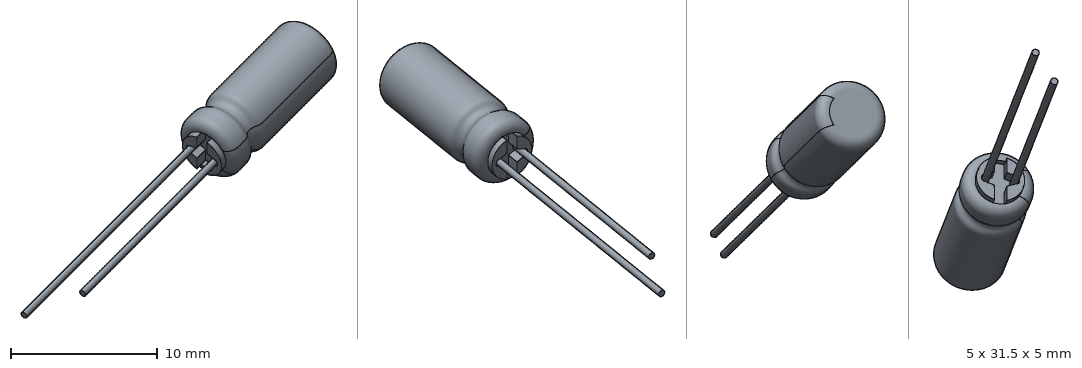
import cadquery as cq
import math


can_diameter = 5.0
can_radius = can_diameter / 2
can_length = 12.0
end_fillet = 0.72
groove_center = 2.52
groove_half_width = 1.0
groove_depth = 0.4

recess_radius = 1.67
recess_depth = 0.5
foot_height = 0.5
foot_length = foot_height + recess_depth
slot_width = 0.85
arm_half_height = 0.55
arm_end_radius = 0.3

lead_radius = 0.25
lead_offset = 1.0
overall_length = 31.5
long_lead_tip = can_length - overall_length
short_lead_tip = -15.5

stripe_apex = -can_diameter / 4
stripe_half_angle = 20


def along_y(y_start, length):
    """Return a sketch plane facing -Y at a given Y, and an extrusion towards +Y."""
    plane = cq.Plane(origin=(0, y_start, 0), xDir=(1, 0, 0), normal=(0, -1, 0))
    return cq.Workplane(plane), -length


def cylinder(x, radius, y_start, y_end):
    sketch, distance = along_y(y_start, y_end - y_start)
    return sketch.center(x, 0).circle(radius).extrude(distance)


def make_envelope():
    """Revolve the can outline: rounded ends and a smooth crimp groove."""
    half_depth = groove_depth / 2
    quarter_width = groove_half_width / 2
    neck_radius = can_radius - groove_depth
    middle_radius = can_radius - half_depth
    groove_start = groove_center - groove_half_width
    groove_end = groove_center + groove_half_width
    flat_radius = can_radius - end_fillet
    outline = (
        cq.Workplane("XY")
        .lineTo(flat_radius, 0)
        .tangentArcPoint((can_radius, end_fillet), relative=False)
        .lineTo(can_radius, groove_start)
        .tangentArcPoint((middle_radius, groove_center - quarter_width), relative=False)
        .tangentArcPoint((neck_radius, groove_center), relative=False)
        .tangentArcPoint((middle_radius, groove_center + quarter_width), relative=False)
        .tangentArcPoint((can_radius, groove_end), relative=False)
        .lineTo(can_radius, can_length - end_fillet)
        .tangentArcPoint((flat_radius, can_length), relative=False)
        .lineTo(0, can_length)
        .close()
    )
    return outline.revolve(360, (0, 0, 0), (0, 1, 0))


def make_stripe(envelope):
    """Part of the can wall inside a wedge that opens towards +X."""
    half_height = (can_radius - stripe_apex) * math.tan(math.radians(stripe_half_angle))
    sketch, distance = along_y(0, can_length)
    wedge = (
        sketch.moveTo(stripe_apex, 0)
        .lineTo(can_radius, half_height)
        .lineTo(can_radius, -half_height)
        .close()
        .extrude(distance)
    )
    core = cylinder(0, recess_radius, 0, can_length)
    return envelope.intersect(wedge).cut(core)


def make_can(envelope, stripe):
    recess = cylinder(0, recess_radius, 0, recess_depth)
    return envelope.cut(recess).cut(stripe)


def make_gap_arm(side):
    """Tapered arm of the gap, running from the axis to a round end at a lead."""
    sketch, distance = along_y(-foot_height, foot_length)
    taper = (
        sketch.moveTo(0, -arm_half_height)
        .lineTo(side * slot_width / 2, -arm_half_height)
        .lineTo(side * lead_offset, -arm_end_radius)
        .lineTo(side * lead_offset, arm_end_radius)
        .lineTo(side * slot_width / 2, arm_half_height)
        .lineTo(0, arm_half_height)
        .close()
        .extrude(distance)
    )
    return taper.union(cylinder(side * lead_offset, arm_end_radius, -foot_height, recess_depth))


def make_foot(side):
    """Round segment on one side of the slot, notched around its lead."""
    disc = cylinder(0, recess_radius, -foot_height, recess_depth)
    sketch, distance = along_y(-foot_height, foot_length)
    half_space = (
        sketch.center(side * (slot_width / 2 + recess_radius), 0)
        .rect(2 * recess_radius, 2 * recess_radius)
        .extrude(distance)
    )
    return disc.intersect(half_space).cut(make_gap_arm(side))


def make_lead(x, tip):
    return cylinder(x, lead_radius, tip, recess_depth)


can_envelope = make_envelope()
polarity_stripe = make_stripe(can_envelope)
can = make_can(can_envelope, polarity_stripe)
feet = [make_foot(side) for side in (-1, 1)]
leads = [make_lead(x, tip) for x, tip in ((-lead_offset, long_lead_tip), (lead_offset, short_lead_tip))]

result = cq.Compound.makeCompound(
    [
        can.val(),
        polarity_stripe.val(),
        *[foot.val() for foot in feet],
        *[lead.val() for lead in leads],
    ]
)